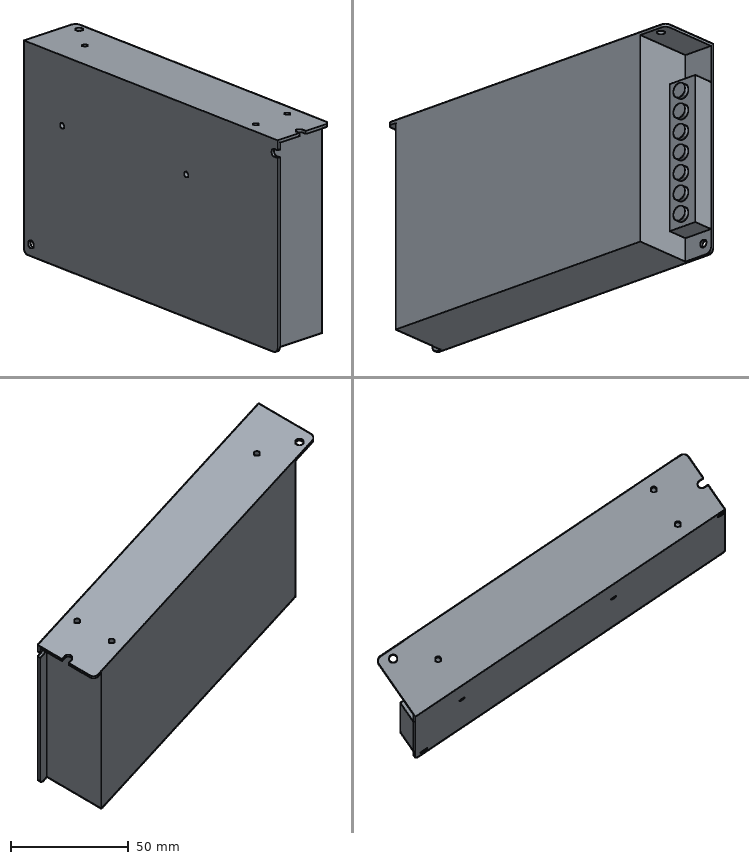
import cadquery as cq
import math

length = 159.0
depth = 30.0
height = 97.0
plate = 1.5
corner_radius = 2.5

box_start = 14.6
box_end = 154.2

mount_diameter = 3.5
slot_depth = 3.8
front_mount = (4.5, 5.4)
top_mount = (6.4, 26.0)
front_slot_z = 90.6
top_slot_y = 14.6

fixing_diameter = 2.5
fixing_depth = 3.0
drill_point_angle = 118.0
front_fixings = [(24.0, 65.0), (101.8, 65.0)]
top_fixings = [(22.0, 15.1), (138.8, 24.2), (138.8, 6.0)]

block_bottom = 10.8
block_top = 78.9
block_back = 11.5
screw_count = 7
screw_row = 57.0
screw_pitch = screw_row / (screw_count - 1)
screw_diameter = 6.7
screw_height = 2.0
screw_x = box_start / 2
screw_middle_z = (block_bottom + block_top) / 2


def block_between(low, high):
    """Rectangular block between two opposite corners."""
    size = [b - a for a, b in zip(low, high)]
    return cq.Workplane("XY").box(*size, centered=False).translate(low)


def front_sketch_plane():
    """Plane of the front face, with X and Z as its sketch axes."""
    return cq.Workplane("XZ")


def top_sketch_plane():
    """Plane of the top face, with X and Y as its sketch axes."""
    return cq.Workplane("XY", origin=(0, 0, height))


def mounting_hole(plane, place):
    """Drill going inward from a face, through the thickness of its plate."""
    return plane.moveTo(*place).circle(mount_diameter / 2).extrude(-plate)


def blind_fixing_hole(direction, mouth):
    """Drill with a conical point, going inward from its mouth."""
    radius = fixing_diameter / 2
    point_height = radius / math.tan(math.radians(drill_point_angle / 2))
    point_base = mouth + direction * fixing_depth
    shank = cq.Solid.makeCylinder(radius, fixing_depth, mouth, direction)
    point = cq.Solid.makeCone(radius, 0, point_height, point_base, direction)
    return shank.fuse(point)


def slot_outline(plane, across):
    """Round-ended slot open at the far X end, centred at the given height across."""
    radius = mount_diameter / 2
    inner_x = length - slot_depth
    return (
        plane.moveTo(length, across - radius)
        .lineTo(inner_x + radius, across - radius)
        .threePointArc((inner_x, across), (inner_x + radius, across + radius))
        .lineTo(length, across + radius)
        .close()
    )


def make_housing():
    front_plate = block_between((0, 0, 0), (length, plate, height))
    front_plate = front_plate.edges("|Y and <Z").fillet(corner_radius)
    top_plate = block_between((0, 0, height - plate), (length, depth, height))
    top_plate = top_plate.edges("|Z and >Y").fillet(corner_radius)
    box = block_between((box_start, 0, 0), (box_end, depth, height))
    housing = front_plate.union(top_plate).union(box)

    housing = housing.cut(mounting_hole(front_sketch_plane(), front_mount))
    housing = housing.cut(mounting_hole(top_sketch_plane(), top_mount))
    housing = housing.cut(slot_outline(front_sketch_plane(), front_slot_z).extrude(-plate))
    housing = housing.cut(slot_outline(top_sketch_plane(), top_slot_y).extrude(-plate))

    for x, z in front_fixings:
        housing = housing.cut(blind_fixing_hole(cq.Vector(0, 1, 0), cq.Vector(x, 0, z)))
    for x, y in top_fixings:
        housing = housing.cut(blind_fixing_hole(cq.Vector(0, 0, -1), cq.Vector(x, y, height)))
    return housing


def make_terminal_block():
    return block_between((0, plate, block_bottom), (box_start, block_back, block_top))


def make_terminal_screw(z):
    """Screw head standing on the back face of the terminal block."""
    seat = cq.Workplane("XZ", origin=(screw_x, block_back, z))
    return seat.circle(screw_diameter / 2).extrude(-screw_height)


housing = make_housing()
terminal_block = make_terminal_block()
terminal_screws = []
for index in range(screw_count):
    offset = index * screw_pitch - screw_row / 2
    terminal_screws.append(make_terminal_screw(screw_middle_z + offset).val())

result = cq.Compound.makeCompound([housing.val(), terminal_block.val(), *terminal_screws])